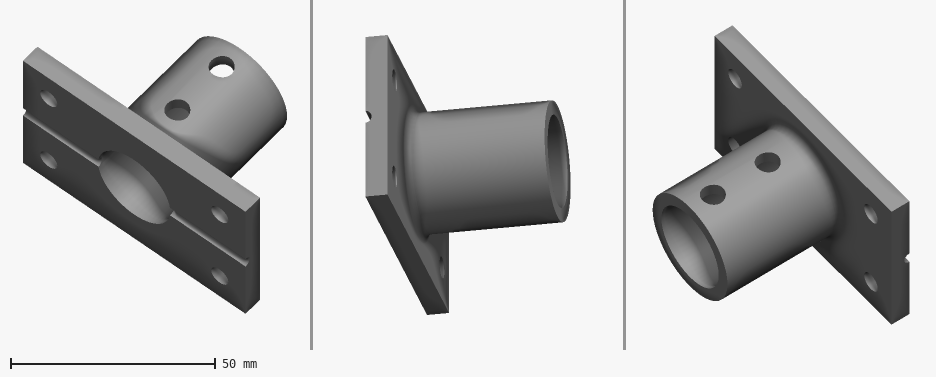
import cadquery as cq

plate_length = 71.0
plate_height = 43.0
plate_thickness = 5.55
bolt_hole_diameter = 5.5
bolt_spacing_x = 54.5
bolt_spacing_z = 26.0

total_depth = 40.5
tube_diameter = 30.0
bore_diameter = 23.0

flare_length = 2.0

groove_diameter = 3.1

screw_hole_diameter = 6.4
screw_hole_depths = (16.5, 33.45)


def make_cylinder_along_y(diameter, length):
    """Cylinder on the bore axis, starting at the front face."""
    return cq.Workplane("XZ").circle(diameter / 2).extrude(-length)


def make_plate():
    plate = cq.Workplane("XZ").rect(plate_length, plate_height).extrude(-plate_thickness)
    bolt_holes = (
        cq.Workplane("XZ")
        .rarray(bolt_spacing_x, bolt_spacing_z, 2, 2)
        .circle(bolt_hole_diameter / 2)
        .extrude(-plate_thickness)
    )
    return plate.cut(bolt_holes)


def make_flare():
    tube_radius = tube_diameter / 2
    return (
        cq.Workplane("XY")
        .moveTo(0, plate_thickness)
        .lineTo(tube_radius + flare_length, plate_thickness)
        .radiusArc((tube_radius, plate_thickness + flare_length), flare_length)
        .lineTo(0, plate_thickness + flare_length)
        .close()
        .revolve(360, (0, 0, 0), (0, 1, 0))
    )


def make_groove():
    return cq.Workplane("YZ").circle(groove_diameter / 2).extrude(plate_length / 2, both=True)


def make_screw_holes():
    return (
        cq.Workplane("XY")
        .pushPoints([(0, depth) for depth in screw_hole_depths])
        .circle(screw_hole_diameter / 2)
        .extrude(tube_diameter)
    )


tube = make_cylinder_along_y(tube_diameter, total_depth)
bore = make_cylinder_along_y(bore_diameter, total_depth)
body = make_plate().union(tube).union(make_flare())
result = body.cut(bore).cut(make_groove()).cut(make_screw_holes())